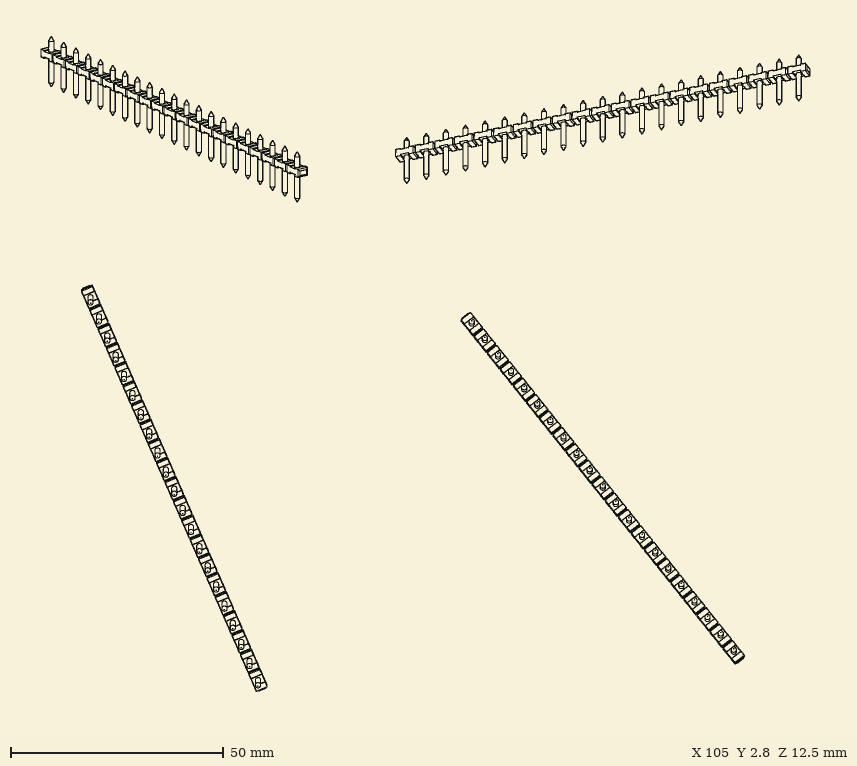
import cadquery as cq

length = 105.0
pin_count = 21
pitch = length / pin_count
strip_width = 2.8
strip_height = 2.0

neck_length = 0.1
taper_length = 0.2
body_length = pitch - neck_length - 2 * taper_length
neck_side_inset = 0.5
neck_height_inset = 0.4
neck_width = strip_width - 2 * neck_side_inset
neck_height = strip_height - 2 * neck_height_inset

channel_width = 2.0
top_channel_depth = 0.2
bottom_channel_depth = 0.37

total_height = 12.5
pin_diameter = 1.3
pin_above = 3.5
pin_below = total_height - strip_height - pin_above
tip_length = 1.0
tip_diameter = 0.1


def make_body():
    """Plastic body of one cell, tapering to half a neck at each end."""
    core = cq.Workplane("XY").box(body_length, strip_width, strip_height)
    neck = cq.Workplane("XY").box(pitch, neck_width, neck_height)
    taper = (
        cq.Workplane("YZ", origin=(body_length / 2, 0, 0))
        .rect(strip_width, strip_height)
        .workplane(offset=taper_length)
        .rect(neck_width, neck_height)
        .loft(ruled=True)
    )
    body = core.union(neck).union(taper).union(taper.mirror("YZ"))
    return body.translate((0, 0, strip_height / 2))


def make_channel(depth, floor):
    """Cutter across the full strip width, with its lower face at height floor."""
    return cq.Workplane("XY", origin=(0, 0, floor)).box(
        channel_width, strip_width, depth, centered=(True, True, False)
    )


def make_pin():
    """Round pin through the strip, with a blunt cone on both ends."""
    radius = pin_diameter / 2
    tip_radius = tip_diameter / 2
    top = strip_height + pin_above
    bottom = -pin_below
    return (
        cq.Workplane("XZ")
        .moveTo(0, bottom)
        .lineTo(tip_radius, bottom)
        .lineTo(radius, bottom + tip_length)
        .lineTo(radius, top - tip_length)
        .lineTo(tip_radius, top)
        .lineTo(0, top)
        .close()
        .revolve(360, (0, 0, 0), (0, 1, 0))
    )


def make_cell():
    """One pitch of the strip, centred on its pin, with the underside at Z = 0."""
    top_channel = make_channel(top_channel_depth, strip_height - top_channel_depth)
    bottom_channel = make_channel(bottom_channel_depth, 0)
    return make_body().cut(top_channel).cut(bottom_channel).union(make_pin())


cell = make_cell()
first_pin_x = (pitch - length) / 2
result = cell.translate((first_pin_x, 0, 0))
for i in range(1, pin_count):
    result = result.union(cell.translate((first_pin_x + i * pitch, 0, 0)))